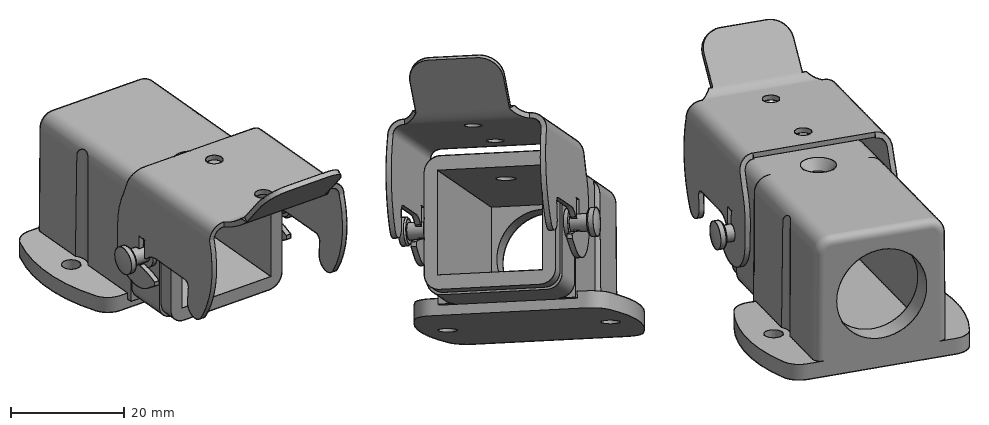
import cadquery as cq
import math

flange_length = 28.0
flange_thickness = 3.1
flange_half_width = 20.0
flange_side_radius = 31.0
flange_corner_radius = 3.9
flange_hole_x = flange_length / 2
flange_hole_y = 14.9
flange_hole_radius = 1.7
screw_clearance_radius = 3.0

body_length = 29.05
body_bottom = 1.8
body_top = 26.7
body_half_base = 12.6
body_half_top = 12.4
body_corner_radius = 3.0
front_edge_radius = 1.5
neck_overlap = 0.65
neck_end = 37.4
neck_corner_radius = 2.8
spigot_end = 40.4
spigot_step = 0.4

wall = 3.0
front_wall = 4.2
cable_hole_z = 14.25
cable_hole_radius = 8.6
screw_x = 29.6
screw_radius = 1.75
screw_head_radius = 3.2
screw_head_depth = 1.95

pin_x = 34.0
pin_z = 14.2
pin_radius = 1.6
pin_collar_radius = 2.6
pin_collar_end = 13.2
pin_head_start = 16.55
pin_head_end = 17.85
pin_head_radius = 2.585
pin_head_chamfer = 0.3
pin_tip = 18.25
pin_embed = 0.65
pin_root = body_half_top - pin_embed

sheet = 1.0
latch_top = 30.15
latch_half_top = 14.5
latch_half_base = 14.9
latch_bend_radius = 2.9
latch_start = 31.65
latch_end = 55.75
side_bulge = 1.3
latch_bend_z = latch_top - latch_bend_radius
lobe_radius = 6.15
notch_offset = 0.65
window_floor = 16.1
slot_width = 1.7
slot_left = 34.35
slot_top = 18.3
latch_hole_radius = 1.54
latch_hole_xs = (36.7, 51.7)

tab_angle = math.radians(50.2)
tab_bend_radius = 2.9
tab_half_width = 8.6
tab_root_half_width = 11.45
tab_corner_radius = 4.1
tab_tip_x = 65.4


def rounded_channel(x_start, x_end, half_base, half_top, z_bottom, z_top, radius):
    """Block along X with drafted sides and rounded upper long edges."""
    return (
        cq.Workplane("YZ", origin=(x_start, 0, 0))
        .polyline([(-half_base, z_bottom), (half_base, z_bottom), (half_top, z_top), (-half_top, z_top)])
        .close()
        .extrude(x_end - x_start)
        .edges("|X and >Z")
        .fillet(radius)
    )


def upright_cylinder(x, y, radius, z_bottom, z_top):
    return cq.Workplane("XY", origin=(x, y, z_bottom)).circle(radius).extrude(z_top - z_bottom)


def make_flange():
    plate = cq.Workplane("XY").rect(flange_length, 2 * flange_half_width).extrude(flange_thickness)
    for side in (-1, 1):
        arc_center_y = side * (flange_half_width - flange_side_radius)
        plate = plate.intersect(upright_cylinder(0, arc_center_y, flange_side_radius, 0, flange_thickness))
    return plate.edges("|Z").fillet(flange_corner_radius).translate((flange_length / 2, 0, 0))


def make_body():
    shell = rounded_channel(
        0, body_length, body_half_base, body_half_top, body_bottom, body_top, body_corner_radius
    )
    shell = shell.faces("<X").edges("not <Z").fillet(front_edge_radius)
    for end, step in ((neck_end, 0), (spigot_end, spigot_step)):
        length_of_body = rounded_channel(
            body_length - neck_overlap,
            end,
            body_half_top - step,
            body_half_top - step,
            body_bottom + step,
            body_top - step,
            body_corner_radius,
        )
        shell = shell.union(length_of_body.edges("|X and <Z").fillet(neck_corner_radius))
    return shell


def cut_flange_holes(housing):
    for side in (-1, 1):
        y = side * flange_hole_y
        housing = housing.cut(upright_cylinder(flange_hole_x, y, flange_hole_radius, 0, flange_thickness))
        clearance = upright_cylinder(flange_hole_x, y, screw_clearance_radius, flange_thickness, body_top)
        housing = housing.cut(clearance)
    return housing


def cut_body_openings(housing):
    half_width = body_half_base - wall
    length = spigot_end - front_wall
    height = body_top - body_bottom - 2 * wall
    cavity = (
        cq.Workplane("XY")
        .box(length, 2 * half_width, height, centered=(False, True, False))
        .translate((front_wall, 0, body_bottom + wall))
    )
    cable_hole = (
        cq.Workplane("YZ").center(0, cable_hole_z).circle(cable_hole_radius).extrude(front_wall)
    )
    cone_bottom = body_top - screw_head_depth
    screw_hole = (
        cq.Workplane("XZ")
        .polyline([
            (0, body_top - 2 * wall),
            (screw_radius, body_top - 2 * wall),
            (screw_radius, cone_bottom),
            (screw_head_radius, body_top),
            (0, body_top),
        ])
        .close()
        .revolve(360, (0, 0), (0, 1))
        .translate((screw_x, 0, 0))
    )
    return housing.cut(cavity).cut(cable_hole).cut(screw_hole)


def make_pin():
    """Pin on the +Y side: collar, shank and domed head."""
    head_rim_start = pin_head_start + pin_head_chamfer
    dome_height = pin_tip - pin_head_end
    dome_radius = (pin_head_radius**2 + dome_height**2) / (2 * dome_height)
    half_angle = math.asin(pin_head_radius / dome_radius) / 2
    dome_mid = (dome_radius * math.sin(half_angle), pin_tip - dome_radius * (1 - math.cos(half_angle)))
    return (
        cq.Workplane("XY")
        .moveTo(0, pin_root)
        .lineTo(pin_collar_radius, pin_root)
        .lineTo(pin_collar_radius, pin_collar_end)
        .lineTo(pin_radius, pin_collar_end)
        .lineTo(pin_radius, pin_head_start)
        .lineTo(pin_head_radius - pin_head_chamfer, pin_head_start)
        .lineTo(pin_head_radius, head_rim_start)
        .lineTo(pin_head_radius, pin_head_end)
        .threePointArc(dome_mid, (0, pin_tip))
        .close()
        .revolve(360, (0, 0), (0, 1))
        .translate((pin_x, 0, pin_z))
    )


def make_latch_profile():
    """Side outline of the latch, with the mouth of the notch reaching in to the pin."""
    lobe_left = pin_x - lobe_radius
    notch_x = pin_x + notch_offset
    return (
        cq.Workplane("XZ", origin=(0, latch_half_base, 0))
        .moveTo(latch_start, latch_top)
        .lineTo(29.6, 24.8)
        .threePointArc((28.3, 21.6), (lobe_left, 18.0))
        .lineTo(lobe_left, pin_z)
        .threePointArc((pin_x, pin_z - lobe_radius), (37.4, 9.2))
        .lineTo(39.25, 10.4)
        .lineTo(39.25, 11.25)
        .lineTo(37.4, 12.0)
        .lineTo(notch_x, 12.55)
        .lineTo(notch_x, pin_z)
        .lineTo(36.7, 14.8)
        .threePointArc((37.95, 15.7), (39.6, window_floor))
        .lineTo(48.15, window_floor)
        .threePointArc((49.2, 15.7), (49.45, 14.7))
        .lineTo(49.25, 12.0)
        .threePointArc((51.3, 9.7), (53.45, 10.65))
        .threePointArc((56.5, 19.6), (latch_end, latch_bend_z))
        .lineTo(latch_end, latch_top)
        .close()
        .extrude(2 * latch_half_base)
    )


def make_latch():
    start = pin_x - lobe_radius
    end = latch_end + side_bulge
    outside = rounded_channel(start, end, latch_half_base, latch_half_top, 0, latch_top, latch_bend_radius)
    inside = rounded_channel(
        start,
        end,
        latch_half_base - sheet,
        latch_half_top - sheet,
        0,
        latch_top - sheet,
        latch_bend_radius - sheet,
    )
    latch = outside.cut(inside).intersect(make_latch_profile())
    slot = (
        cq.Workplane("XY")
        .box(slot_width, 2 * latch_half_base, slot_top - pin_z, centered=(False, True, False))
        .translate((slot_left, 0, pin_z))
    )
    flat_width = 2 * (latch_half_top - latch_bend_radius)
    square_end = (
        cq.Workplane("XY")
        .box(latch_start - start, flat_width, sheet, centered=(False, True, False))
        .translate((start, 0, latch_top - sheet))
    )
    latch = latch.cut(slot).cut(square_end)
    for x in latch_hole_xs:
        latch = latch.cut(upright_cylinder(x, 0, latch_hole_radius, latch_top - sheet, latch_top))
    return latch


def make_tab():
    """Bent tab: the strip outline seen from the side, trimmed to its width."""
    bend_center_z = latch_top + tab_bend_radius
    outer_radius = tab_bend_radius + sheet

    def on_bend(radius, angle):
        return (latch_end + radius * math.sin(angle), bend_center_z - radius * math.cos(angle))

    upper_end = on_bend(tab_bend_radius, tab_angle)
    lower_end = on_bend(outer_radius, tab_angle)
    length = (tab_tip_x - lower_end[0]) / math.cos(tab_angle)
    run = (length * math.cos(tab_angle), length * math.sin(tab_angle))
    bend = (
        cq.Workplane("XZ", origin=(0, tab_root_half_width, 0))
        .moveTo(latch_end, latch_top - sheet)
        .threePointArc(on_bend(outer_radius, tab_angle / 2), lower_end)
        .lineTo(*upper_end)
        .threePointArc(on_bend(tab_bend_radius, tab_angle / 2), (latch_end, latch_top))
        .close()
        .extrude(2 * tab_root_half_width)
    )
    taper = (
        cq.Workplane("XY")
        .polyline([
            (latch_end, -tab_root_half_width),
            (lower_end[0], -tab_half_width),
            (lower_end[0], tab_half_width),
            (latch_end, tab_root_half_width),
        ])
        .close()
        .extrude(2 * latch_top)
    )
    blade = (
        cq.Workplane("XZ", origin=(0, tab_half_width, 0))
        .polyline([
            lower_end,
            (lower_end[0] + run[0], lower_end[1] + run[1]),
            (upper_end[0] + run[0], upper_end[1] + run[1]),
            upper_end,
        ])
        .close()
        .extrude(2 * tab_half_width)
    )
    tip_corners = blade.faces(cq.selectors.DirectionMinMaxSelector(cq.Vector(run[0], 0, run[1])))
    blade = tip_corners.edges("not |Y").fillet(tab_corner_radius)
    return bend.intersect(taper).union(blade)


housing = cut_body_openings(cut_flange_holes(make_flange().union(make_body())))
pin = make_pin()
result = housing.union(make_latch()).union(make_tab()).union(pin).union(pin.mirror("XZ"))